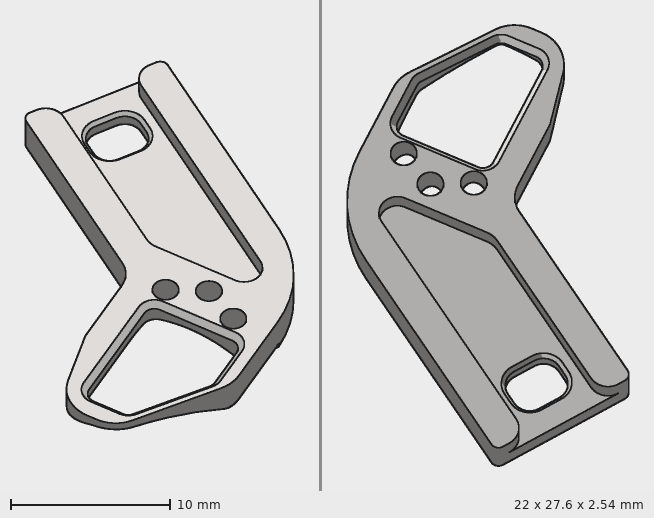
import cadquery as cq
import math


thickness = 2.54
lever_half_width = 5.0
tip_y = -7.5
outer_bend_radius = 8.0
inner_bend_radius = 1.9
tip_radius = 2.5
taper_start_y = -1.86
tip_left_x = -3.75
tip_right_x = 0.21
slope_start_y = -0.81

arm_angle = 33.5
arm_end = -20.965
arm_centre = 5.5
arm_half_width = 5.0
arm_corner_radius = 0.53

pocket_half_width = 2.75
pocket_depth = 1.27
pocket_edge_y = 6.68
pocket_nose_radius = 1.16
pocket_bend_radius = 1.5
rail_end_radius = 1.25

slot_along = -17.68
slot_length = 3.54
slot_width = 4.25
slot_radius = 1.39
slot_chamfer = 0.25

window_left = -3.22
window_right = 4.2
window_top = 2.97
window_bottom = -6.4
window_rim = 0.35
window_radius = 1.13
window_chamfer = 0.4

hole_diameter = 1.65
side_hole_x = 2.43
side_hole_y = 3.88
middle_hole_y = 5.11

relief_depth = 0.25
relief_radius = 6.55
relief_corner_radius = 0.38
dish_radius = 7.8
dish_crown_z = 1.92

overshoot = 5.0
lever_reach = overshoot - tip_y
pocket_floor_z = thickness - pocket_depth

cos_arm = math.cos(math.radians(arm_angle))
sin_arm = math.sin(math.radians(arm_angle))


def arm_point(along, across):
    """Point given along the arm axis (towards the lever) and across it."""
    return (along * cos_arm + across * sin_arm, across * cos_arm - along * sin_arm)


def arm_line_at_x(across, x):
    """Point at x on the line parallel to the arm axis."""
    return (x, (across - x * sin_arm) / cos_arm)


def arm_line_at_y(across, y):
    """Point at y on the line parallel to the arm axis."""
    return ((across - y * cos_arm) / sin_arm, y)


def rounded_prism(corners, z, height):
    """Upright prism from (x, y) corners paired with their rounding radius."""
    points = [point for point, _ in corners]
    prism = cq.Workplane("XY").workplane(offset=z).polyline(points).close().extrude(height)
    for (x, y), radius in corners:
        if radius > 0:
            corner_edge = cq.selectors.NearestToPointSelector((x, y, z + height / 2))
            prism = prism.edges("|Z").edges(corner_edge).fillet(radius)
    return prism


def chamfered_opening(corners, top_z, chamfer):
    """Cutter for a through opening whose rim at top_z has a 45 degree chamfer."""
    head = rounded_prism(corners, top_z - chamfer, overshoot)
    head = head.faces("<Z").chamfer(chamfer)
    throat = head.faces("<Z").wires().toPending().workplane().extrude(overshoot, combine=False)
    return head.union(throat)


def body_corners():
    lower_edge = arm_centre - arm_half_width
    upper_edge = arm_centre + arm_half_width
    return [
        (arm_point(arm_end, upper_edge), arm_corner_radius),
        (arm_line_at_x(upper_edge, lever_half_width), outer_bend_radius),
        ((lever_half_width, slope_start_y), tip_radius),
        ((tip_right_x, tip_y), tip_radius),
        ((tip_left_x, tip_y), tip_radius),
        ((-lever_half_width, taper_start_y), 0),
        (arm_line_at_x(lower_edge, -lever_half_width), inner_bend_radius),
        (arm_point(arm_end, lower_edge), arm_corner_radius),
    ]


def make_foot():
    """Raised sole under the arm, ending in an arc around the finger dish."""
    foot = rounded_prism(body_corners(), 0, relief_depth)
    foot = foot.cut(cq.Workplane("XY").circle(relief_radius).extrude(relief_depth))
    lever_side = cq.Workplane("XY").rect(4 * lever_half_width, 2 * lever_reach).extrude(relief_depth)
    foot = foot.cut(lever_side.translate((0, -lever_reach, 0)))
    arc_end_y = math.sqrt(relief_radius**2 - lever_half_width**2)
    for x in (-lever_half_width, lever_half_width):
        arc_end = cq.selectors.NearestToPointSelector((x, arc_end_y, relief_depth / 2))
        foot = foot.edges("|Z").edges(arc_end).fillet(relief_corner_radius)
    return foot


def make_dish():
    """Round-bottomed trough along the lever with a spherical end at the origin."""
    dish_axis_z = dish_crown_z - dish_radius
    trough = cq.Workplane("XZ").center(0, dish_axis_z).circle(dish_radius).extrude(lever_reach)
    ball = cq.Workplane("XY").sphere(dish_radius).translate((0, 0, dish_axis_z))
    above_relief = cq.Workplane("XY").workplane(offset=relief_depth)
    above_relief = above_relief.rect(4 * dish_radius, 4 * dish_radius).extrude(thickness)
    return trough.union(ball).intersect(above_relief)


def make_pocket():
    lower_edge = arm_centre - pocket_half_width
    upper_edge = arm_centre + pocket_half_width
    open_end = arm_end - overshoot
    corners = [
        (arm_point(open_end, upper_edge), 0),
        (arm_line_at_y(upper_edge, pocket_edge_y), pocket_nose_radius),
        (arm_line_at_y(lower_edge, pocket_edge_y), pocket_bend_radius),
        (arm_point(open_end, lower_edge), 0),
    ]
    return rounded_prism(corners, pocket_floor_z, pocket_depth)


def round_rail_ends(body):
    """Round the inner corner at the open end of both pocket rails."""
    for side in (-1, 1):
        x, y = arm_point(arm_end, arm_centre + side * pocket_half_width)
        rail_corner = cq.selectors.NearestToPointSelector((x, y, thickness - pocket_depth / 2))
        body = body.edges("|Z").edges(rail_corner).fillet(rail_end_radius)
    return body


def make_slot():
    half_length = slot_length / 2
    half_width = slot_width / 2
    signs = [(-1, -1), (1, -1), (1, 1), (-1, 1)]
    corners = [
        (arm_point(slot_along + i * half_length, arm_centre + j * half_width), slot_radius)
        for i, j in signs
    ]
    opening = chamfered_opening(corners, pocket_floor_z, slot_chamfer)
    return opening.union(opening.mirror("XY").translate((0, 0, pocket_floor_z)))


def make_window():
    """Window whose sloping side runs parallel to the sloping side of the lever."""
    slope_x = lever_half_width - tip_right_x
    slope_y = slope_start_y - tip_y
    rim_x = window_rim * math.hypot(slope_x, slope_y) / slope_y

    def slope_x_at(y):
        return tip_right_x + (y - tip_y) * slope_x / slope_y - rim_x

    slope_top_y = tip_y + (window_right + rim_x - tip_right_x) * slope_y / slope_x
    corners = [
        (window_left, window_top),
        (window_right, window_top),
        (window_right, slope_top_y),
        (slope_x_at(window_bottom), window_bottom),
        (window_left, window_bottom),
    ]
    return chamfered_opening([(corner, window_radius) for corner in corners], thickness, window_chamfer)


def make_holes():
    centres = [(-side_hole_x, side_hole_y), (0, middle_hole_y), (side_hole_x, side_hole_y)]
    return cq.Workplane("XY").pushPoints(centres).circle(hole_diameter / 2).extrude(thickness)


body = rounded_prism(body_corners(), relief_depth, thickness - relief_depth)
body = body.cut(make_dish())
body = body.union(make_foot())
body = round_rail_ends(body.cut(make_pocket()))
result = body.cut(make_slot()).cut(make_window()).cut(make_holes())